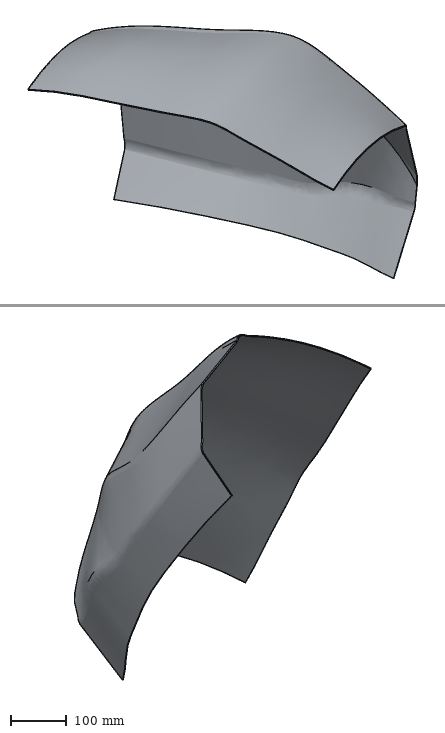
import cadquery as cq
import math

LENGTH = 651.5
THICKNESS = 2.5
SHOULDER_ROUNDING = 0.25
FLANGE_ROUNDING = 0.1
ROOF_STEPS = 10
BEND_STEPS = 4
STRIP_STEPS = [ROOF_STEPS, BEND_STEPS, 1, 1, 1, BEND_STEPS, 1]
SAMPLES = 40
FACE_TOLERANCE = 0.0001
SEWING_TOLERANCE = 0.01
EDGE_RISE = 45.0
END_TOP_Z = 361.5
END_SHIFT = 47.5
MARGIN = 65.0

STATIONS = [0, 130, 260.5, 358, 404, 456, 501.5, 553.5, 599, LENGTH]

ROOF_EDGE_Y = [89.0, 61.0, 36.0, 19.5, 16.0, 11.0, 8.5, 6.0, 2.5, 0]
ROOF_EDGE_Z = [359.5, 393.5, 415.0, 432.0, 433.0, 422.0, 409.0, 395.0, 381.0, 367.5]
ROOF_CREST_Z = [367.5, 410.5, 433.0, 449.5, 449.5, 438.5, 423.5, 404, 391, 378]
SHOULDER_TOP_Y = [340.5, 329.5, 324.5, 333.0, 337.0, 334.0, 331.0, 324.0, 311.5, 290.5]
SHOULDER_TOP_Z = [340.5, 389.0, 417, 436.5, 437.0, 425.0, 404, 381.0, 361.0, 343.0]
SHOULDER_FOOT_Y = [359.5, 355.5, 352, 357.5, 358, 351.0, 343.0, 333.0, 323.0, 303.5]
SHOULDER_FOOT_Z = [323.0, 369.0, 398.5, 415.0, 417, 404, 385.5, 363.0, 345, 329.0]
RIDGE_TOP_Y = [421.0, 425.5, 422.0, 413.5, 408.5, 394.0, 376.5, 363.5, 357.0, 347.0]
RIDGE_TOP_Z = [212.5, 211.0, 221.5, 262.0, 283.5, 299.0, 305.0, 286.5, 254, 210.0]
RIDGE_FOOT_Y = [423.5, 426.0, 423.5, 414.0, 409.0, 395.5, 378, 365, 359.5, 348.0]
RIDGE_FOOT_Z = [199.0, 197.0, 205.0, 247.0, 268.5, 292.0, 298.0, 282.0, 247.5, 189]
BEND_TOP_Y = [415.5, 414.0, 410.5, 400.0, 393.5, 391, 388.0, 374.5, 355.0, 340.5]
BEND_TOP_Z = [89.0, 90.5, 93.0, 101.0, 105.0, 120.5, 133.5, 143, 150, 156.5]
BEND_FOOT_Y = [412.0, 409.0, 402.5, 389.5, 383.0, 381.0, 375.0, 361.5, 348.5, 334.0]
BEND_FOOT_Z = [67.0, 68.5, 71.5, 80.0, 85, 98, 111, 119.0, 129.5, 139.0]
FLANGE_EDGE_Y = [345, 350.0, 345, 337.5, 331.0, 319, 307.5, 292.5, 272.0, 250.0]


def flange_edge_z(x):
    """Height of the straight lower edge, which is zero at the foot of the slanted end."""
    return EDGE_RISE * (x - END_SHIFT) / (LENGTH - END_SHIFT)


def bulge(start, end, height, steps):
    """Inner points of a parabola that rises outwards by height over the chord start-end."""
    dy = end[0] - start[0]
    dz = end[1] - start[1]
    chord = math.hypot(dy, dz)
    points = []
    for k in range(1, steps):
        t = k / steps
        rise = 4 * height * t * (1 - t) / chord
        points.append((start[0] + t * dy - rise * dz, start[1] + t * dz + rise * dy))
    return points


def bend(start, end, rounding):
    """Inner points of a bend whose bulge is a fraction of its chord."""
    chord = math.hypot(end[0] - start[0], end[1] - start[1])
    return bulge(start, end, rounding * chord, BEND_STEPS)


def outer_profile(i):
    """Outer (Y, Z) points of one station, from the roof edge round to the flange edge."""
    roof_edge = (ROOF_EDGE_Y[i], ROOF_EDGE_Z[i])
    shoulder_top = (SHOULDER_TOP_Y[i], SHOULDER_TOP_Z[i])
    shoulder_foot = (SHOULDER_FOOT_Y[i], SHOULDER_FOOT_Z[i])
    ridge_top = (RIDGE_TOP_Y[i], RIDGE_TOP_Z[i])
    ridge_foot = (RIDGE_FOOT_Y[i], RIDGE_FOOT_Z[i])
    bend_top = (BEND_TOP_Y[i], BEND_TOP_Z[i])
    bend_foot = (BEND_FOOT_Y[i], BEND_FOOT_Z[i])
    flange_edge = (FLANGE_EDGE_Y[i], flange_edge_z(STATIONS[i]))
    crown = ROOF_CREST_Z[i] - (roof_edge[1] + shoulder_top[1]) / 2
    return [
        roof_edge,
        *bulge(roof_edge, shoulder_top, crown, ROOF_STEPS),
        shoulder_top,
        *bend(shoulder_top, shoulder_foot, SHOULDER_ROUNDING),
        shoulder_foot,
        ridge_top,
        ridge_foot,
        bend_top,
        *bend(bend_top, bend_foot, FLANGE_ROUNDING),
        bend_foot,
        flange_edge,
    ]


def inner_profile(outer):
    """Outer points moved inwards by the sheet thickness, square to the local direction."""
    inner = []
    for i, (y, z) in enumerate(outer):
        before = outer[max(i - 1, 0)]
        after = outer[min(i + 1, len(outer) - 1)]
        dy = after[0] - before[0]
        dz = after[1] - before[1]
        span = math.hypot(dy, dz)
        inner.append((y + THICKNESS * dz / span, z - THICKNESS * dy / span))
    return inner


def lengthwise_splines(profiles):
    """Splines that join matching profile points from station to station."""
    curves = []
    for row in zip(*profiles):
        points = [cq.Vector(x, y, z) for x, (y, z) in zip(STATIONS, row)]
        curves.append(cq.Edge.makeSpline(points))
    return curves


def strip(curves):
    """Smooth face through lengthwise splines; two splines give a ruled face."""
    if len(curves) == 2:
        return cq.Face.makeRuledSurface(*curves)
    grid = []
    for curve in curves:
        grid.append([curve.positionAt(k / SAMPLES) for k in range(SAMPLES + 1)])
    return cq.Face.makeSplineApprox(grid, tol=FACE_TOLERANCE, minDeg=3, maxDeg=5)


def side_faces(curves):
    """Faces of one side of the sheet, split at the creases between its strips."""
    faces = []
    first = 0
    for steps in STRIP_STEPS:
        faces.append(strip(curves[first:first + steps + 1]))
        first += steps
    return faces


def end_face(faces, pick):
    """Flat face that closes one end; pick is min or max and selects the end along X."""
    edges = [pick(face.Edges(), key=lambda edge: edge.Center().x) for face in faces]
    return cq.Face.makeFromWires(cq.Wire.combine(edges, SEWING_TOLERANCE)[0])


def curved_sheet():
    """Solid sheet with an outer side, an inner side, two long rims and two flat ends."""
    profiles = [outer_profile(i) for i in range(len(STATIONS))]
    outer = lengthwise_splines(profiles)
    inner = lengthwise_splines([inner_profile(profile) for profile in profiles])
    around = side_faces(outer)
    around.append(strip([outer[-1], inner[-1]]))
    around += side_faces(inner)
    around.append(strip([inner[0], outer[0]]))
    ends = [end_face(around, min), end_face(around, max)]
    shell = cq.occ_impl.shapes.shell(*around, *ends, tol=SEWING_TOLERANCE)
    return cq.Solid.makeSolid(shell)


def trimming_block():
    """Block that keeps everything behind the slanted end of the panel."""
    slope = END_SHIFT / END_TOP_Z
    low_z = -MARGIN
    high_z = max(ROOF_CREST_Z) + MARGIN
    outline = [
        (END_SHIFT - slope * high_z, high_z),
        (END_SHIFT - slope * low_z, low_z),
        (LENGTH + MARGIN, low_z),
        (LENGTH + MARGIN, high_z),
    ]
    block = cq.Workplane("XZ").polyline(outline).close().extrude(-LENGTH)
    return block.translate((0, -MARGIN, 0))


result = cq.Workplane(curved_sheet()).intersect(trimming_block())